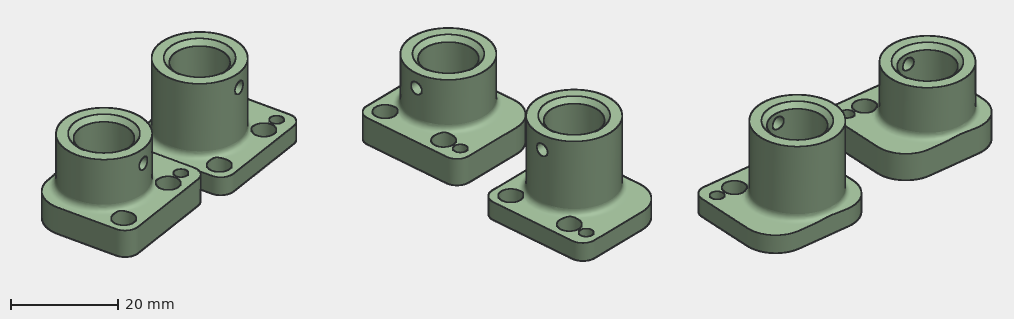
import cadquery as cq

flange_width = 23.05
flange_depth = 25.75
left_corner_radius = 6.9
right_corner_radius = 2.95

overall_depth = 57.45
top_height = 20.5
front_flange_bottom = 3.1
front_flange_thickness = 5.9
rear_flange_thickness = 4.0

axis_x = 9.7
axis_y = 11.2
tube_diameter = 18.0
root_fillet_radius = 1.5

bore_diameter = 11.4
lead_in = 1.05
bore_depth = 13.05
cone_slope = 0.6
front_cone_end_diameter = 1.25
rear_outlet_diameter = 6.2

cross_hole_diameter = 2.7
cross_hole_drop = 3.35

hole_x = 19.2
mounting_hole_diameter = 4.7
mounting_hole_offset = 7.38
locating_hole_diameter = 2.8
locating_hole_y = 22.8

tube_radius = tube_diameter / 2
bore_radius = bore_diameter / 2
bore_floor = top_height - bore_depth


def make_flange(bottom, height):
    """Rounded plate whose outline starts at X = 0 and Y = 0."""
    plate = cq.Workplane("XY", origin=(0, 0, bottom)).rect(flange_width, flange_depth, centered=False)
    plate = plate.extrude(height)
    plate = plate.edges("|Z and <X").fillet(left_corner_radius)
    return plate.edges("|Z and >X").fillet(right_corner_radius)


def make_tube(bottom, flange_top):
    """Solid round boss with a concave fillet at its root, clipped to the flange outline."""
    fillet_outer = tube_radius + root_fillet_radius
    fillet_top = flange_top + root_fillet_radius
    arc_sag = root_fillet_radius * (1 - 0.5 ** 0.5)
    tube = (
        cq.Workplane("XZ")
        .moveTo(0, bottom)
        .lineTo(fillet_outer, bottom)
        .lineTo(fillet_outer, flange_top)
        .threePointArc((tube_radius + arc_sag, flange_top + arc_sag), (tube_radius, fillet_top))
        .lineTo(tube_radius, top_height)
        .lineTo(0, top_height)
        .close()
        .revolve(360, (0, 0, 0), (0, 1, 0))
        .translate((axis_x, axis_y, 0))
    )
    return tube.intersect(make_flange(bottom, top_height - bottom))


def make_bore(cone_end_diameter):
    """Bore with its lead-in and conical floor, as a solid to be removed."""
    cone_end_radius = cone_end_diameter / 2
    cone_end = bore_floor - cone_slope * (bore_radius - cone_end_radius)
    return (
        cq.Workplane("XZ")
        .moveTo(0, cone_end)
        .lineTo(cone_end_radius, cone_end)
        .lineTo(bore_radius, bore_floor)
        .lineTo(bore_radius, top_height - lead_in)
        .lineTo(bore_radius + lead_in, top_height)
        .lineTo(0, top_height)
        .close()
        .revolve(360, (0, 0, 0), (0, 1, 0))
        .translate((axis_x, axis_y, 0))
    )


def make_cross_hole():
    """Radial cylinder running from the bore axis out through the +X wall."""
    start = (axis_x, axis_y, top_height - cross_hole_drop)
    return cq.Workplane("YZ", origin=start).circle(cross_hole_diameter / 2).extrude(flange_width)


def make_vertical_hole(x, y, diameter):
    """Upright cylinder spanning the full height."""
    return cq.Workplane("XY").center(x, y).circle(diameter / 2).extrude(top_height)


def make_flange_holes():
    """Two mounting holes either side of the bore axis and one locating hole."""
    holes = make_vertical_hole(hole_x, locating_hole_y, locating_hole_diameter)
    for offset in (-mounting_hole_offset, mounting_hole_offset):
        holes = holes.add(make_vertical_hole(hole_x, axis_y + offset, mounting_hole_diameter))
    return holes.combine()


def make_socket(bottom, flange_thickness, cone_end_diameter):
    """Flanged socket with all features common to both bodies."""
    flange_top = bottom + flange_thickness
    socket = make_flange(bottom, flange_thickness).union(make_tube(bottom, flange_top))
    socket = socket.cut(make_bore(cone_end_diameter))
    socket = socket.cut(make_cross_hole())
    return socket.cut(make_flange_holes())


front_socket = make_socket(front_flange_bottom, front_flange_thickness, front_cone_end_diameter)

rear_socket = make_socket(0, rear_flange_thickness, rear_outlet_diameter)
rear_socket = rear_socket.cut(make_vertical_hole(axis_x, axis_y, rear_outlet_diameter))
rear_socket = rear_socket.translate((0, overall_depth - flange_depth, 0))

result = cq.Compound.makeCompound([front_socket.val(), rear_socket.val()])